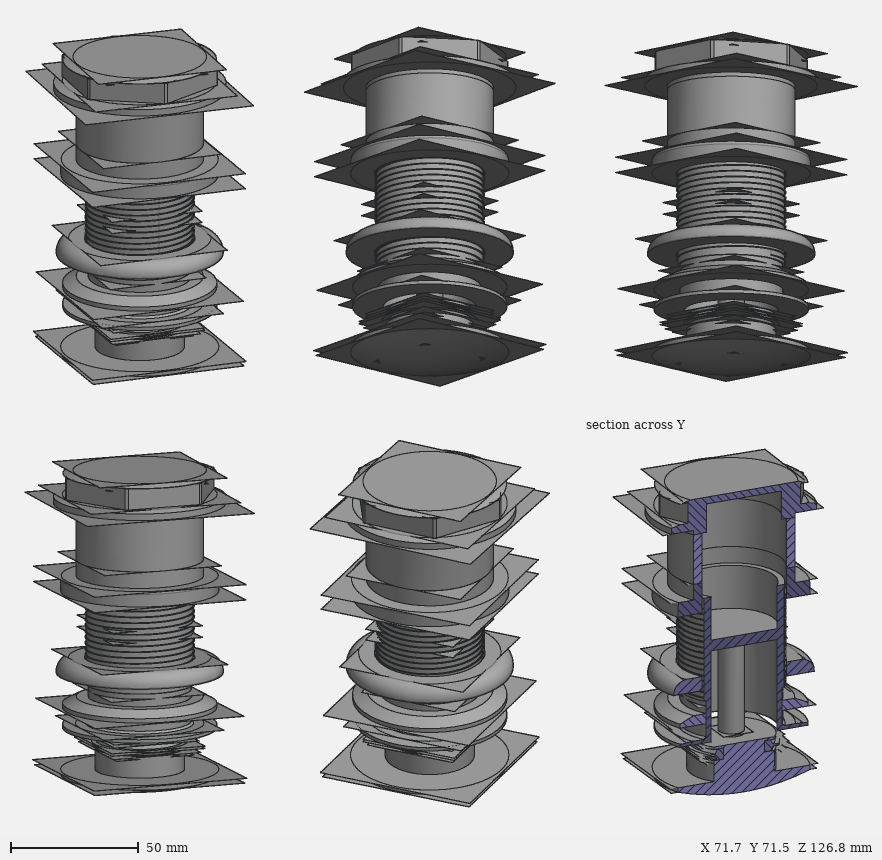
import cadquery as cq
import math

CAP_TURN = -1.5

SHEET = 0.06

DOME_RADIUS = 31.0
DOME_RIM_BOTTOM = 5.3
DOME_RIM_TOP = 7.4
PLUG_RADIUS = 17.5
PLUG_SHOULDER = 16.1
GROOVE_RADIUS = 14.6
GROOVE_TOP = 20.5
PLUG_TOP = 21.8
STEM_RADIUS = 5.2
STEM_COLLAR_TOP = 23.1
DOME_INNER_SHEET_BOTTOM = 2.2
DOME_INNER_SHEET = 31.0
DOME_RIM_SHEET = 63.1
DOME_TOP_SHEET = 64.4
PLUG_INNER_SHEET_TOP = 14.8
PLUG_INNER_SHEET = 32.5
PLUG_SHOULDER_SHEET = 36.8
PLUG_RIM_SHEET = 35.8
STEM_SHEET = 12.9

SEAL_WAIST = 16.4
SEAL_BULGE = 17.1
LIP_RADIUS = 18.9
LIP_BOTTOM = 17.8
LIP_TOP = 18.8
LIP_SHEET = 39.3

FLANGE_BOTTOM = 24.0
FLANGE_EDGE_TOP = 25.4
FLANGE_STEP_TOP = 25.7
FLANGE_RADIUS = 30.2
FLANGE_STEP_RADIUS = 24.1
PIPE_ROOT = 26.6
PIPE_RADIUS = 20.2
PIPE_LEDGE = 39.4
PIPE_BORE = 18.3
THREAD_BOTTOM = 41.6
CORE_RADIUS = 20.9
WEB_BOTTOM = 62.0
WEB_TOP = 66.7
PIPE_TOP = 84.7
THREAD_START = 42.9
THREAD_LENGTH = 39.4
THREAD_TURNS = 17
THREAD_HEIGHT = 0.5
THREAD_WIDTH = 0.5
THREAD_SINK = 0.3
FLANGE_STEP_SHEET = 50.7
LEDGE_SHEET = 40.2
WEB_SHEET = 37.8

CONE_BOTTOM = 32.0
CONE_EDGE_TOP = 33.7
CONE_TOP = 36.4
CONE_TOP_RADIUS = 24.9
ROUND_BOTTOM = 46.0
ROUND_EDGE_TOP = 46.4
ROUND_TOP = 52.1
ROUND_RADIUS = 32.7
CONE_SHEET = 62.6
ROUND_SHEET = 53.0

RING_BOTTOM = 78.5
RING_TOP = 84.7
RING_RADIUS = 31.0
RING_CHAMFER = 1.1
RING_CHAMFER_WIDTH = 0.3
THREAD_BORE = 21.5
NECK_RADIUS = 25.0
SLEEVE_BOTTOM = 91.3
SLEEVE_TOP = 112.0
CAP_FLANGE_BOTTOM = 113.6
CAP_FLANGE_EDGE_TOP = 116.3
CAP_FLANGE_RADIUS = 33.7
HEX_BOTTOM = 117.2
HEX_ACROSS_FLATS = 54.0
HEX_CORNER_RADIUS = 30.8
CAP_CEILING = 123.7
CAP_BORE = 19.9
CROWN_BRIM_BOTTOM = 125.5
CROWN_BRIM_TOP = 125.6
CAP_TOP = 126.8
CROWN_FLAT_RADIUS = 25.9
CROWN_RADIUS = 30.0
RING_SHEET = 63.9
NECK_SHEET = 49.2
CAP_FLANGE_SHEET_X = 69.9
CAP_FLANGE_SHEET_Y = 69.7
HEX_SHEET_X = 62.4
HEX_SHEET_Y = 58.8
CEILING_SHEET = 41.8
CROWN_SHEET = 53.1


def revolve(points):
    """Solid of revolution about Z from (radius, height) points."""
    return cq.Workplane("XZ").polyline(points).close().revolve(360, (0, 0), (0, 1))


def cylinder(radius, bottom, top):
    return cq.Workplane("XY").workplane(offset=bottom).circle(radius).extrude(top - bottom)


def sheet_above(bottom, length, width=None):
    """Thin square (or rectangle) whose lower face is at the given height."""
    sheet = cq.Workplane("XY").workplane(offset=bottom)
    return sheet.rect(length, width or length).extrude(SHEET)


def sheet_below(top, length, width=None):
    """Thin square (or rectangle) whose upper face is at the given height."""
    return sheet_above(top - SHEET, length, width)


def turn_with_cap(shape):
    return shape.rotate((0, 0, 0), (0, 0, 1), CAP_TURN)


def make_plug():
    dome = (
        cq.Workplane("XZ")
        .lineTo(0, DOME_RIM_TOP)
        .lineTo(DOME_RADIUS, DOME_RIM_TOP)
        .lineTo(DOME_RADIUS, DOME_RIM_BOTTOM)
        .threePointArc((DOME_RADIUS / 2, DOME_RIM_BOTTOM / 4), (0, 0))
        .close()
        .revolve(360, (0, 0), (0, 1))
    )
    plug = (
        dome.union(cylinder(PLUG_RADIUS, DOME_RIM_TOP, PLUG_SHOULDER))
        .union(cylinder(GROOVE_RADIUS, PLUG_SHOULDER, GROOVE_TOP))
        .union(cylinder(PLUG_RADIUS, GROOVE_TOP, PLUG_TOP))
        .union(cylinder(STEM_RADIUS, PLUG_TOP, WEB_BOTTOM))
    )
    for sheet in (
        sheet_above(DOME_INNER_SHEET_BOTTOM, DOME_INNER_SHEET),
        sheet_above(DOME_RIM_BOTTOM, DOME_RIM_SHEET),
        sheet_below(DOME_RIM_TOP, DOME_TOP_SHEET),
        sheet_below(PLUG_INNER_SHEET_TOP, PLUG_INNER_SHEET),
        sheet_below(PLUG_SHOULDER, PLUG_SHOULDER_SHEET),
        sheet_above(GROOVE_TOP, PLUG_RIM_SHEET),
        sheet_below(PLUG_TOP, PLUG_RIM_SHEET),
        sheet_below(STEM_COLLAR_TOP, STEM_SHEET),
    ):
        plug = plug.union(sheet)
    return plug


def make_seal():
    ring = revolve([
        (GROOVE_RADIUS, PLUG_SHOULDER),
        (SEAL_WAIST, PLUG_SHOULDER),
        (SEAL_BULGE, LIP_BOTTOM),
        (LIP_RADIUS, LIP_BOTTOM),
        (LIP_RADIUS, LIP_TOP),
        (SEAL_BULGE, LIP_TOP),
        (SEAL_WAIST, GROOVE_TOP),
        (GROOVE_RADIUS, GROOVE_TOP),
    ])
    lips = sheet_above(LIP_BOTTOM, LIP_SHEET).union(sheet_below(LIP_TOP, LIP_SHEET))
    return ring.union(lips.cut(cylinder(GROOVE_RADIUS, LIP_BOTTOM, LIP_TOP)))


def make_thread():
    """Right-handed ridge with a triangular section, sunk a little into the pipe."""
    root = CORE_RADIUS - THREAD_SINK
    pitch = THREAD_LENGTH / THREAD_TURNS
    start = cq.Vector(0, 0, THREAD_START)
    path = cq.Workplane(cq.Wire.makeHelix(pitch, THREAD_LENGTH, CORE_RADIUS, start))
    section = cq.Workplane("XZ").polyline([
        (root, THREAD_START - THREAD_WIDTH / 2),
        (CORE_RADIUS + THREAD_HEIGHT, THREAD_START),
        (root, THREAD_START + THREAD_WIDTH / 2),
    ]).close()
    return section.sweep(path, isFrenet=True)


def make_drain():
    drain = revolve([
        (0, FLANGE_BOTTOM),
        (FLANGE_RADIUS, FLANGE_BOTTOM),
        (FLANGE_RADIUS, FLANGE_EDGE_TOP),
        (FLANGE_STEP_RADIUS, FLANGE_STEP_TOP),
        (PIPE_RADIUS + PIPE_ROOT - FLANGE_STEP_TOP, FLANGE_STEP_TOP),
        (PIPE_RADIUS, PIPE_ROOT),
        (PIPE_RADIUS, THREAD_BOTTOM),
        (CORE_RADIUS, THREAD_BOTTOM),
        (CORE_RADIUS, PIPE_TOP),
        (0, PIPE_TOP),
    ])
    for sheet in (
        sheet_below(FLANGE_STEP_TOP, FLANGE_STEP_SHEET),
        sheet_below(PIPE_LEDGE, LEDGE_SHEET),
        sheet_above(WEB_BOTTOM, WEB_SHEET),
        sheet_below(WEB_TOP, WEB_SHEET),
    ):
        drain = drain.union(sheet)
    drain = drain.cut(cylinder(PIPE_BORE, FLANGE_BOTTOM, WEB_BOTTOM))
    drain = drain.cut(cylinder(PIPE_BORE, WEB_TOP, PIPE_TOP))
    return drain.union(make_thread())


def make_cone_washer():
    washer = revolve([
        (0, CONE_BOTTOM),
        (FLANGE_RADIUS, CONE_BOTTOM),
        (FLANGE_RADIUS, CONE_EDGE_TOP),
        (CONE_TOP_RADIUS, CONE_TOP),
        (0, CONE_TOP),
    ])
    washer = washer.union(sheet_above(CONE_BOTTOM, CONE_SHEET))
    return washer.cut(cylinder(PIPE_RADIUS, CONE_BOTTOM, CONE_TOP))


def make_round_washer():
    round_radius = ROUND_TOP - ROUND_EDGE_TOP
    flat_radius = ROUND_RADIUS - round_radius
    diagonal = round_radius * math.sqrt(0.5)
    washer = (
        cq.Workplane("XZ")
        .moveTo(0, ROUND_BOTTOM)
        .lineTo(ROUND_RADIUS, ROUND_BOTTOM)
        .lineTo(ROUND_RADIUS, ROUND_EDGE_TOP)
        .threePointArc((flat_radius + diagonal, ROUND_EDGE_TOP + diagonal), (flat_radius, ROUND_TOP))
        .lineTo(0, ROUND_TOP)
        .close()
        .revolve(360, (0, 0), (0, 1))
    )
    washer = washer.union(sheet_below(ROUND_TOP, ROUND_SHEET))
    return washer.cut(cylinder(THREAD_BORE, ROUND_BOTTOM, ROUND_TOP))


def make_ring_nut():
    ring = revolve([
        (0, RING_BOTTOM),
        (RING_RADIUS, RING_BOTTOM),
        (RING_RADIUS, RING_TOP - RING_CHAMFER),
        (RING_RADIUS - RING_CHAMFER_WIDTH, RING_TOP),
        (NECK_RADIUS, RING_TOP),
        (NECK_RADIUS, SLEEVE_BOTTOM),
        (0, SLEEVE_BOTTOM),
    ])
    for sheet in (
        sheet_above(RING_BOTTOM, RING_SHEET),
        sheet_below(RING_TOP, RING_SHEET),
        sheet_below(SLEEVE_BOTTOM, NECK_SHEET),
    ):
        ring = ring.union(sheet)
    return ring.cut(cylinder(THREAD_BORE, RING_BOTTOM, SLEEVE_BOTTOM))


def make_sleeve():
    sleeve = cylinder(NECK_RADIUS, SLEEVE_BOTTOM, SLEEVE_TOP)
    return sleeve.cut(cylinder(THREAD_BORE, SLEEVE_BOTTOM, SLEEVE_TOP))


def make_cap():
    flange = revolve([
        (0, SLEEVE_TOP),
        (NECK_RADIUS, SLEEVE_TOP),
        (NECK_RADIUS, CAP_FLANGE_BOTTOM),
        (CAP_FLANGE_RADIUS, CAP_FLANGE_BOTTOM),
        (CAP_FLANGE_RADIUS, CAP_FLANGE_EDGE_TOP),
        (CROWN_RADIUS, HEX_BOTTOM),
        (0, HEX_BOTTOM),
    ])
    hexagon = (
        cq.Workplane("XY")
        .workplane(offset=CAP_FLANGE_EDGE_TOP)
        .polygon(6, HEX_ACROSS_FLATS / math.cos(math.pi / 6))
        .extrude(CROWN_BRIM_BOTTOM - CAP_FLANGE_EDGE_TOP)
        .intersect(cylinder(HEX_CORNER_RADIUS, CAP_FLANGE_EDGE_TOP, CROWN_BRIM_BOTTOM))
    )
    crown = revolve([
        (0, CROWN_BRIM_BOTTOM),
        (CROWN_RADIUS, CROWN_BRIM_BOTTOM),
        (CROWN_RADIUS, CROWN_BRIM_TOP),
        (CROWN_FLAT_RADIUS, CAP_TOP),
        (0, CAP_TOP),
    ])
    cap = flange.union(turn_with_cap(hexagon)).union(crown)
    for sheet in (
        sheet_above(CAP_FLANGE_BOTTOM, CAP_FLANGE_SHEET_X, CAP_FLANGE_SHEET_Y),
        sheet_below(HEX_BOTTOM, HEX_SHEET_X, HEX_SHEET_Y),
        sheet_above(CAP_CEILING, CEILING_SHEET),
        sheet_below(CAP_TOP, CROWN_SHEET),
    ):
        cap = cap.union(turn_with_cap(sheet))
    return cap.cut(cylinder(CAP_BORE, SLEEVE_TOP, CAP_CEILING))


plug = make_plug()
seal = make_seal()
drain = make_drain()
cone_washer = make_cone_washer()
round_washer = make_round_washer()
ring_nut = make_ring_nut()
sleeve = make_sleeve()
cap = make_cap()

bodies = [plug, seal, drain, cone_washer, round_washer, ring_nut, sleeve, cap]
result = cq.Compound.makeCompound([body.solids().val() for body in bodies])